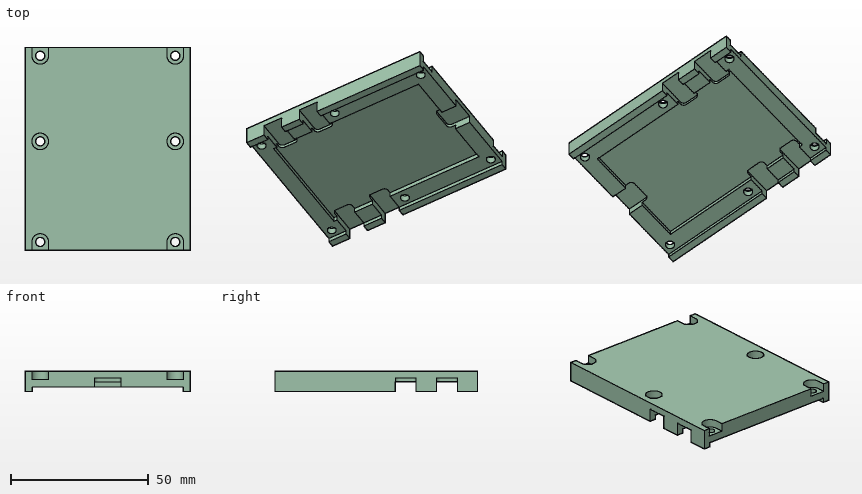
import cadquery as cq

width = 60.0
length = 73.5
height = 7.5

rail_width = 2.65
rail_height = 1.7

side_wall = 9.0
end_wall = 6.0
cavity_ceiling = 3.6

opening_ceiling = 4.9
opening_corner_radius = 1.5
opening_overrun = 2.95
end_opening_width = 9.5
side_opening_width = 7.5
side_opening_centers = [25.65, 10.65]

hole_diameter = 3.2
counterbore_diameter = 6.0
counterbore_depth = 3.0
screw_edge_distance = 5.5
middle_screw_y = 2.7

screw_x = width / 2 - screw_edge_distance
end_screw_y = length / 2 - counterbore_diameter / 2
counterbore_floor = height - counterbore_depth


def block(size_x, size_y, z_bottom, z_top, x=0.0, y=0.0):
    """Box centred on (x, y) and spanning z_bottom to z_top."""
    base = cq.Workplane("XY").box(size_x, size_y, z_top - z_bottom, centered=(True, True, False))
    return base.translate((x, y, z_bottom))


def cylinder(diameter, z_bottom, z_top, x, y):
    """Upright cylinder spanning z_bottom to z_top."""
    disc = cq.Workplane("XY").circle(diameter / 2).extrude(z_top - z_bottom)
    return disc.translate((x, y, z_bottom))


def end_opening():
    """Opening in the -Y wall, with rounded corners at its inner end."""
    depth = end_wall + opening_overrun
    opening = block(end_opening_width, depth, 0, opening_ceiling, y=(depth - length) / 2)
    return opening.edges("|Z and >Y").fillet(opening_corner_radius)


def side_opening(side, y):
    """Opening in the wall on one side (-1 or +1), with rounded corners at its inner end."""
    depth = side_wall + opening_overrun
    opening = block(depth, side_opening_width, 0, opening_ceiling, x=side * (width - depth) / 2, y=y)
    inner_end = "<X" if side > 0 else ">X"
    return opening.edges("|Z and " + inner_end).fillet(opening_corner_radius)


def screw_recess(x, y):
    """Through hole with a counterbore from the top face."""
    hole = cylinder(hole_diameter, 0, height, x, y)
    return hole.union(cylinder(counterbore_diameter, counterbore_floor, height, x, y))


def end_screw_recess(x, end):
    """Screw recess at one end (-1 or +1), with its counterbore open to the end face."""
    run_out = length / 2 - end_screw_y
    run_out_y = end * (end_screw_y + run_out / 2)
    slot = block(counterbore_diameter, run_out, counterbore_floor, height, x, run_out_y)
    return screw_recess(x, end * end_screw_y).union(slot)


plate = block(width, length, 0, height)
plate = plate.cut(block(width - 2 * rail_width, length, 0, rail_height))

plate = plate.cut(block(width - 2 * side_wall, length - 2 * end_wall, 0, cavity_ceiling))
plate = plate.cut(end_opening())
for side in (-1, 1):
    for opening_y in side_opening_centers:
        plate = plate.cut(side_opening(side, opening_y))

for side in (-1, 1):
    plate = plate.cut(screw_recess(side * screw_x, middle_screw_y))
    for end in (-1, 1):
        plate = plate.cut(end_screw_recess(side * screw_x, end))

result = plate